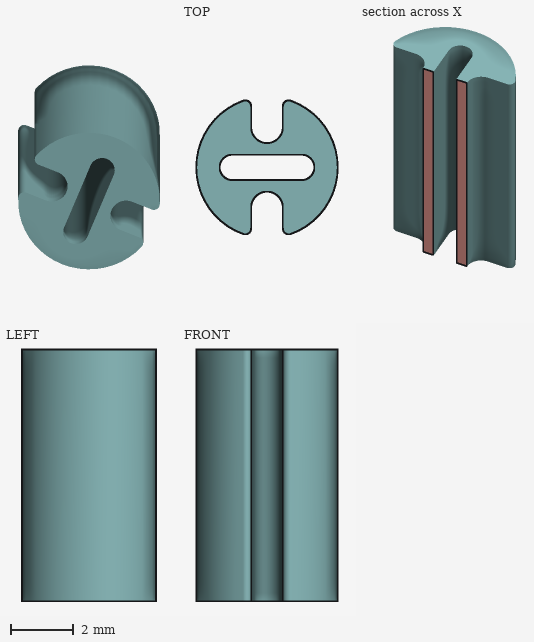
import cadquery as cq

body_diameter = 4.5
body_height = 8.0

slot_length = 3.0
slot_width = 0.8

groove_width = 1.0
groove_floor_offset = 0.775
mouth_radius = 0.19

body_radius = body_diameter / 2
groove_radius = groove_width / 2


def make_groove(side):
    """Full-height groove cutter on the +Y (side=1) or -Y (side=-1) side."""
    arc_center_y = groove_floor_offset + groove_radius
    return (
        cq.Workplane("XY")
        .moveTo(-groove_radius, side * body_diameter)
        .lineTo(-groove_radius, side * arc_center_y)
        .threePointArc((0, side * groove_floor_offset), (groove_radius, side * arc_center_y))
        .lineTo(groove_radius, side * body_diameter)
        .close()
        .extrude(body_height)
    )


def round_groove_mouths(part):
    """Round the four vertical edges where the grooves meet the outer cylinder."""
    mouth_edges = cq.selectors.BoxSelector(
        (-body_radius, -body_radius, 0),
        (body_radius, -groove_floor_offset - groove_width, body_height),
    ) + cq.selectors.BoxSelector(
        (-body_radius, groove_floor_offset + groove_width, 0),
        (body_radius, body_radius, body_height),
    )
    return part.edges("|Z").edges(mouth_edges).fillet(mouth_radius)


result = cq.Workplane("XY").circle(body_radius).extrude(body_height)
for side in (1, -1):
    result = result.cut(make_groove(side))
result = round_groove_mouths(result)

slot = cq.Workplane("XY").slot2D(slot_length, slot_width).extrude(body_height)
result = result.cut(slot)